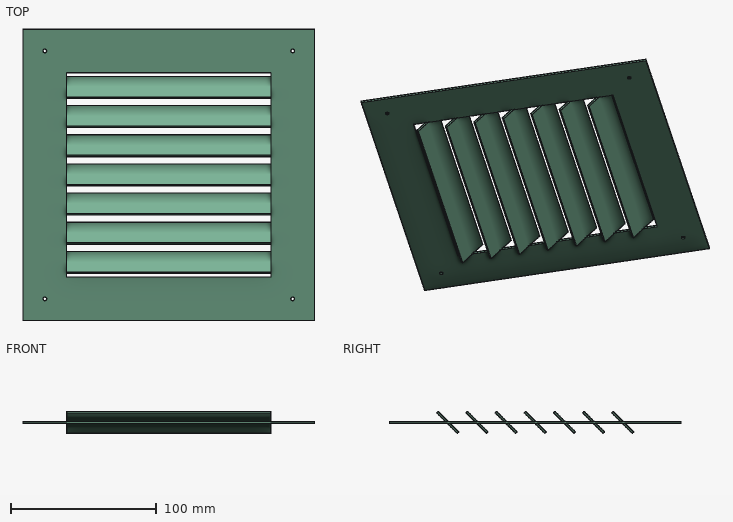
import cadquery as cq

frame_side = 200.0
opening_side = 140.0
sheet_thickness = 1.5
hole_diameter = 2.5
hole_spacing = 170.0

slat_count = 7
slat_pitch = 20.0
slat_width = 20.0
slat_tilt = -45.0


def make_frame():
    """Flat frame with a mounting hole near each corner."""
    plate = cq.Workplane("XY").box(frame_side, frame_side, sheet_thickness)
    opening = cq.Workplane("XY").box(opening_side, opening_side, sheet_thickness)
    return (
        plate.cut(opening)
        .faces(">Z")
        .workplane()
        .rect(hole_spacing, hole_spacing, forConstruction=True)
        .vertices()
        .hole(hole_diameter)
    )


def make_slat(center_y):
    """One tilted slat whose ends meet the sides of the opening."""
    return (
        cq.Workplane("XY")
        .box(opening_side, slat_width, sheet_thickness)
        .rotate((0, 0, 0), (1, 0, 0), slat_tilt)
        .translate((0, center_y, 0))
    )


frame = make_frame()

first_slat_y = -slat_pitch * (slat_count - 1) / 2
slats = []
for index in range(slat_count):
    slats.append(make_slat(first_slat_y + index * slat_pitch).val())

result = cq.Compound.makeCompound([frame.val(), *slats])